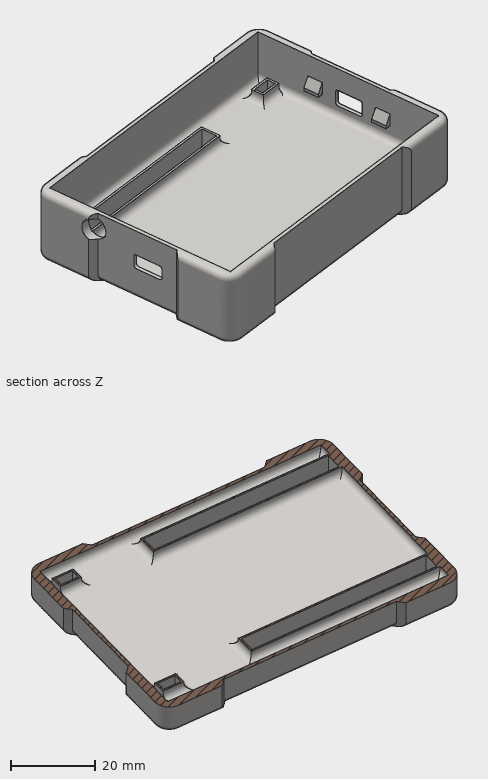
import cadquery as cq
import math

length_x = 59.9
length_y = 85.3
height = 19.7
wall = 1.0
floor_thickness = 5.8
recess_depth = 1.6
corner_radius = 4.0
edge_radius = 1.5
inner_fillet = 1.8

pad_gap_x = 23.7
pad_gap_y = 49.1

rim_wall = 0.6
rim_height = 2.6
opening_outer_x = 23.2
slot_width = 4.4
slot_end_y = 13.2
post_opening_width = 2.4
post_opening_length = 4.8
post_back_y = 38.4

front_window_width = 8.5
front_window_height = 4.0
front_window_radius = 0.85
front_window_x = 3.15
front_window_z = 10.7
back_window_width = 8.0
back_window_height = 4.5
back_window_radius = 0.7
back_window_z = 11.1
back_centre_x = 0.2
round_hole_radius = 3.0
round_hole_x = -12.5
round_hole_z = 15.2
clip_width = 4.35
clip_spacing = 20.5
clip_top_z = 13.6
clip_height = 3.5
clip_lip = 0.85
clip_reach = 1.5

body_x = length_x - 2 * recess_depth
body_y = length_y - 2 * recess_depth
inner_x = body_x - 2 * wall
inner_y = body_y - 2 * wall


def upright_box(x_min, x_max, y_min, y_max, z_min, z_max):
    size = (x_max - x_min, y_max - y_min, z_max - z_min)
    return cq.Workplane("XY").box(*size, centered=False).translate((x_min, y_min, z_min))


def side_gap(gap, side_length):
    """Gaps between the pads on two opposite sides, flared outward at 45 degrees.

    Each gap reaches in past the body's rounded foot, so the flares run on under it.
    """
    half_gap = gap / 2
    half_side = side_length / 2
    recess = (
        cq.Workplane("XY")
        .moveTo(half_gap + recess_depth, half_side)
        .lineTo(half_gap - edge_radius, half_side - recess_depth - edge_radius)
        .lineTo(edge_radius - half_gap, half_side - recess_depth - edge_radius)
        .lineTo(-half_gap - recess_depth, half_side)
        .close()
        .extrude(height)
    )
    return recess.union(recess.mirror("XZ"))


def rounded_block(size_x, size_y, radius):
    block = cq.Workplane("XY").box(size_x, size_y, height, centered=(True, True, False))
    return block.edges("|Z").fillet(radius)


def outer_shell():
    """Square-topped body with a rounded foot, plus the fully rounded corner pads."""
    body = rounded_block(body_x, body_y, corner_radius - recess_depth)
    body = body.faces("<Z").edges().fillet(edge_radius)
    pads = rounded_block(length_x, length_y, corner_radius)
    pads = pads.faces("<Z or >Z").edges().fillet(edge_radius)
    pads = pads.cut(side_gap(pad_gap_x, length_y))
    pads = pads.cut(side_gap(pad_gap_y, length_x).rotate((0, 0, 0), (0, 0, 1), 90))
    return body.union(pads)


def cavity():
    room = cq.Workplane("XY").box(inner_x, inner_y, height, centered=(True, True, False))
    return room.faces("<Z").edges().fillet(inner_fillet).translate((0, 0, floor_thickness))


def flared_profile(plane, low, high, flare_low, flare_high):
    """Upright rim profile from low to high with a concave foot on the flared sides."""
    root_z = floor_thickness / 2
    foot_z = floor_thickness
    neck_z = foot_z + inner_fillet
    top_z = foot_z + rim_height
    arc_inset = inner_fillet * (1 - math.sqrt(0.5))
    profile = cq.Workplane(plane).moveTo(low, top_z).lineTo(high, top_z)
    if flare_high:
        profile = profile.lineTo(high, neck_z).threePointArc(
            (high + arc_inset, foot_z + arc_inset), (high + inner_fillet, foot_z)
        )
    profile = profile.lineTo(high + (inner_fillet if flare_high else 0), root_z)
    profile = profile.lineTo(low - (inner_fillet if flare_low else 0), root_z)
    if flare_low:
        profile = profile.lineTo(low - inner_fillet, foot_z).threePointArc(
            (low - arc_inset, foot_z + arc_inset), (low, neck_z)
        )
    return profile.close().extrude(length_y, both=True)


def rim(x_min, x_max, y_min, y_max, flare_front, flare_back):
    """Solid rim block round an opening, with mitred concave feet."""
    across = flared_profile("XZ", x_min - rim_wall, x_max + rim_wall, True, True)
    along = flared_profile("YZ", y_min - rim_wall, y_max + rim_wall, flare_front, flare_back)
    return across.intersect(along)


def end_window(width, window_height, radius):
    window = cq.Workplane("XY").box(width, 2 * wall, window_height)
    return window.edges("|Y").fillet(radius)


def clip(x_centre):
    """Wedge on the back wall: sloping top, upright lip and flat underside."""
    wall_y = inner_y / 2
    bottom_z = clip_top_z - clip_height
    return (
        cq.Workplane("YZ")
        .moveTo(wall_y, clip_top_z)
        .lineTo(wall_y - clip_reach, bottom_z + clip_lip)
        .lineTo(wall_y - clip_reach, bottom_z)
        .lineTo(wall_y + wall / 2, bottom_z)
        .lineTo(wall_y + wall / 2, clip_top_z)
        .close()
        .extrude(clip_width / 2, both=True)
        .translate((x_centre, 0, 0))
    )


result = outer_shell().cut(cavity())

slot_span = (-opening_outer_x, slot_width - opening_outer_x, rim_wall - inner_y / 2, slot_end_y)
post_span = (
    -opening_outer_x,
    post_opening_width - opening_outer_x,
    post_back_y - post_opening_length,
    post_back_y,
)
slot_rim = rim(*slot_span, flare_front=False, flare_back=True)
post_rim = rim(*post_span, flare_front=True, flare_back=False)
for raised in (slot_rim, post_rim):
    result = result.union(raised).union(raised.mirror("YZ"))
for span in (slot_span, post_span):
    opening = upright_box(*span, 0, height)
    result = result.cut(opening).cut(opening.mirror("YZ"))

end_wall_y = (body_y - wall) / 2
front_window = end_window(front_window_width, front_window_height, front_window_radius)
result = result.cut(front_window.translate((front_window_x, -end_wall_y, front_window_z)))
back_window = end_window(back_window_width, back_window_height, back_window_radius)
result = result.cut(back_window.translate((back_centre_x, end_wall_y, back_window_z)))
round_hole = (
    cq.Workplane("XZ")
    .center(round_hole_x, round_hole_z)
    .circle(round_hole_radius)
    .extrude(length_y / 2)
)
result = result.cut(round_hole)
for side in (-1, 1):
    result = result.union(clip(back_centre_x + side * clip_spacing / 2))